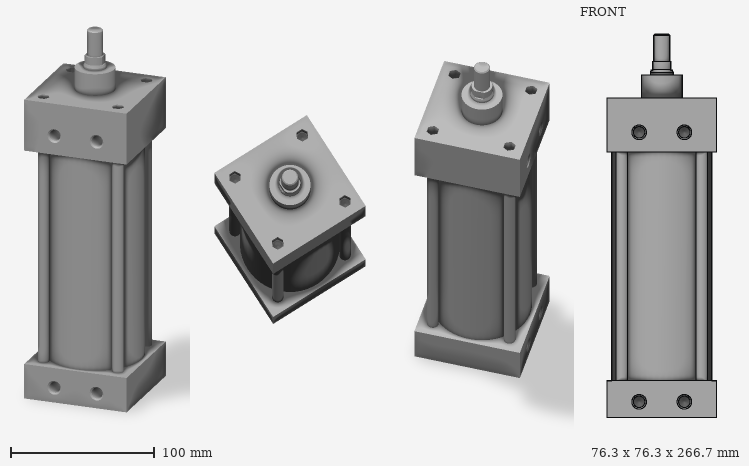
import cadquery as cq
import math


overall_height = 266.7
head_side = 76.3
cap_height = 25.5
head_height = 38.0
head_top = 222.5
head_bottom = head_top - head_height

barrel_diameter = 70.0
tie_rod_diameter = 8.0
tie_rod_spacing = 55.5
sleeve_nut_diameter = 12.8

socket_width = 7.7
socket_drill_diameter = 6.7
socket_depth = 8.0

mount_spacing = 31.5
mount_thread_diameter = 10.1
mount_drill_diameter = 8.0
mount_hole_depth = 13.3
cap_mount_height = 11.0
head_mount_height = 198.5

drill_point_angle = 118.0

gland_diameter = 48.0
gland_boss_diameter = 28.5
gland_top = 238.5

rod_diameter = 16.0
rod_neck_diameter = 14.5
rod_taper_bottom = 240.0
rod_taper_top = 242.2
stud_diameter = 11.2
stud_bottom = 247.8
stud_chamfer = 0.8
wrench_flat_width = 12.8
wrench_flat_bottom = 241.5


def cylinder(diameter, bottom, top):
    """Cylinder on the Z axis between two heights."""
    return cq.Workplane("XY").workplane(offset=bottom).circle(diameter / 2).extrude(top - bottom)


def square_block(bottom, top):
    """Square end block between two heights."""
    return cq.Workplane("XY").workplane(offset=bottom).rect(head_side, head_side).extrude(top - bottom)


def point_depth(diameter):
    """Height of the cone that a drill of this diameter leaves at the bottom of a hole."""
    return diameter / 2 / math.tan(math.radians(drill_point_angle / 2))


def tapped_hole():
    """Cutter for a countersunk drilled hole with a pointed end, entering from Z = 0 downwards."""
    thread_radius = mount_thread_diameter / 2
    drill_radius = mount_drill_diameter / 2
    return (
        cq.Workplane("XZ")
        .polyline([
            (0, 0),
            (thread_radius, 0),
            (drill_radius, drill_radius - thread_radius),
            (drill_radius, -mount_hole_depth),
            (0, -mount_hole_depth - point_depth(mount_drill_diameter)),
        ])
        .close()
        .revolve(360, (0, 0), (0, 1))
    )


def hex_socket():
    """Cutter for a hex socket with a drill point at its bottom, entering from Z = 0 downwards."""
    corner_diameter = socket_width / math.cos(math.radians(30))
    hexagon = cq.Workplane("XY").polygon(6, corner_diameter).extrude(-socket_depth)
    drill_point = (
        cq.Workplane("XZ")
        .polyline([
            (0, 0),
            (socket_drill_diameter / 2, 0),
            (socket_drill_diameter / 2, -socket_depth),
            (0, -socket_depth - point_depth(socket_drill_diameter)),
        ])
        .close()
        .revolve(360, (0, 0), (0, 1))
    )
    return hexagon.union(drill_point)


def drill_mounting_holes(block, height):
    """Cut the pair of tapped holes into the -Y face at the given height."""
    cutter = tapped_hole().rotate((0, 0, 0), (1, 0, 0), 90)
    for side in (-1, 1):
        block = block.cut(cutter.translate((side * mount_spacing / 2, -head_side / 2, height)))
    return block


def tie_rod_centres():
    """Centres of the four tie rods."""
    offset = tie_rod_spacing / 2
    return [(x, y) for x in (-offset, offset) for y in (-offset, offset)]


def make_cylinder_body():
    """Cap, barrel and the four tie rods, whose sleeve nuts end flush with the head."""
    body = drill_mounting_holes(square_block(0, cap_height), cap_mount_height)
    body = body.union(cylinder(barrel_diameter, cap_height, head_bottom))
    tie_rod = cylinder(tie_rod_diameter, cap_height, head_bottom)
    tie_rod = tie_rod.union(cylinder(sleeve_nut_diameter, head_bottom, head_top))
    tie_rod = tie_rod.cut(hex_socket().translate((0, 0, head_top)))
    for x, y in tie_rod_centres():
        body = body.union(tie_rod.translate((x, y, 0)))
    return body


def make_head():
    """Head block bored for the gland and the sleeve nuts."""
    head = drill_mounting_holes(square_block(head_bottom, head_top), head_mount_height)
    head = head.cut(cylinder(gland_diameter, head_bottom, head_top))
    nut_bore = cylinder(sleeve_nut_diameter, head_bottom, head_top)
    for x, y in tie_rod_centres():
        head = head.cut(nut_bore.translate((x, y, 0)))
    return head


def make_gland():
    """Gland flush with the head, with a raised boss around the piston rod."""
    gland = cylinder(gland_diameter, head_bottom, head_top)
    gland = gland.union(cylinder(gland_boss_diameter, head_top, gland_top))
    return gland.cut(cylinder(rod_diameter, head_bottom, gland_top))


def make_piston_rod():
    """Stepped piston rod with a tapered shoulder, two wrench flats facing X and an end stud."""
    rod = (
        cq.Workplane("XZ")
        .polyline([
            (0, head_bottom),
            (rod_diameter / 2, head_bottom),
            (rod_diameter / 2, rod_taper_bottom),
            (rod_neck_diameter / 2, rod_taper_top),
            (rod_neck_diameter / 2, stud_bottom),
            (stud_diameter / 2, stud_bottom),
            (stud_diameter / 2, overall_height - stud_chamfer),
            (stud_diameter / 2 - stud_chamfer, overall_height),
            (0, overall_height),
        ])
        .close()
        .revolve(360, (0, 0), (0, 1))
    )
    core = (
        cq.Workplane("XY")
        .workplane(offset=wrench_flat_bottom)
        .rect(wrench_flat_width, rod_diameter)
        .extrude(stud_bottom - wrench_flat_bottom)
    )
    flat_waste = cylinder(rod_diameter, wrench_flat_bottom, stud_bottom).cut(core)
    return rod.cut(flat_waste)


cylinder_body = make_cylinder_body()
head = make_head()
gland = make_gland()
piston_rod = make_piston_rod()

result = cq.Compound.makeCompound([cylinder_body.val(), head.val(), gland.val(), piston_rod.val()])